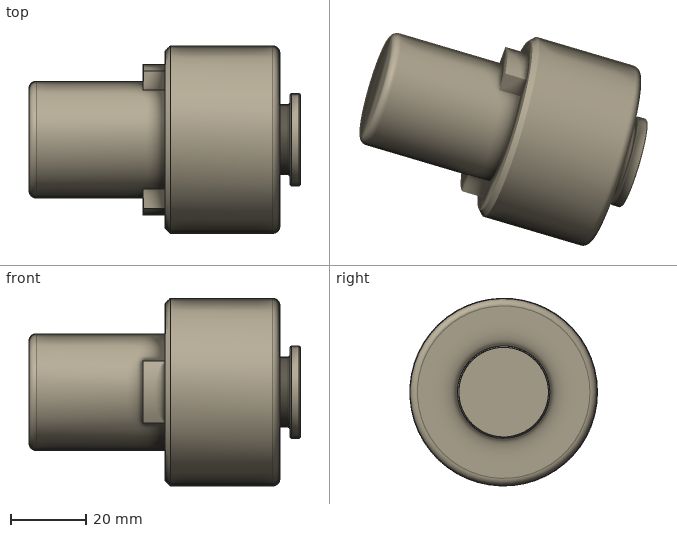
import cadquery as cq

total_length = 72.1
body_diameter = 49.8
shaft_diameter = 31.0
neck_diameter = 18.6
flange_diameter = 24.5

body_start = 36.1
body_end = 66.6
flange_thickness = 2.8
flange_start = total_length - flange_thickness

rounding = 2.0
body_chamfer = 1.45
flange_chamfer = 0.35
neck_fillet = 0.6

lug_length = 5.85
lug_width = 16.45
lug_diameter = 40.0


def cylinder(diameter, start, end):
    """Cylinder along X between two positions."""
    return cq.Workplane("YZ", origin=(start, 0, 0)).circle(diameter / 2).extrude(end - start)


def make_shaft():
    return cylinder(shaft_diameter, 0, body_start).faces("<X").edges().fillet(rounding)


def make_body():
    body = cylinder(body_diameter, body_start, body_end)
    body = body.faces("<X").edges().chamfer(body_chamfer)
    return body.faces(">X").edges().fillet(rounding)


def make_lugs():
    """Disc trimmed to a flat bar, so that each lug has a round outer face."""
    lug_start = body_start - lug_length
    disc = cylinder(lug_diameter, lug_start, body_start)
    bar = cq.Workplane("YZ", origin=(lug_start, 0, 0)).rect(lug_diameter, lug_width).extrude(lug_length)
    return disc.intersect(bar)


def make_flanged_end():
    neck = cylinder(neck_diameter, body_end, flange_start)
    flange = cylinder(flange_diameter, flange_start, total_length)
    flange = flange.edges().chamfer(flange_chamfer)
    neck_circles = neck.union(flange).edges("%CIRCLE").edges(cq.selectors.RadiusNthSelector(0))
    return neck_circles.edges(">X").fillet(neck_fillet)



result = make_shaft().union(make_body()).union(make_lugs()).union(make_flanged_end())